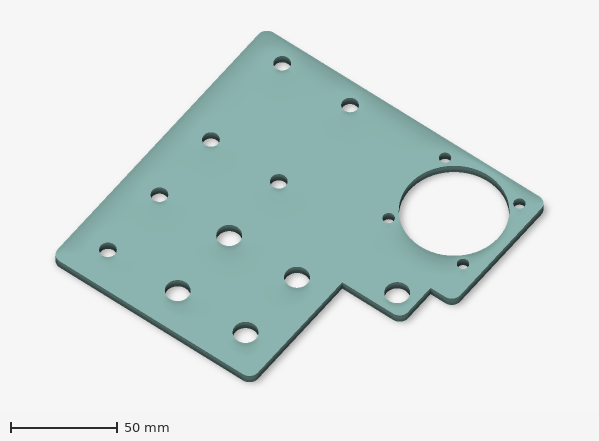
import cadquery as cq

length = 167.0
width = 166.3
thickness = 5.0
corner_radius = 5.0
lower_edge_x = 118.2
tab_edge_x = 153.3
tab_bottom_y = 70.6
tab_top_y = 93.2

hole_pitch = 40.0
small_hole_diameter = 8.4
small_column_x = 19.0
small_row_y = 19.0
upper_row_y = 154.6
large_hole_diameter = 12.2
large_column_x = 59.5
large_row_y = 20.0
tab_hole_center = (142.5, 81.5)

opening_diameter = 52.1
opening_center = (135.1, 135.5)
screw_hole_diameter = 5.8
screw_spacing = 44.0


def make_plate():
    """Extrude the stepped outline and round its outward corners."""
    lower_right = (lower_edge_x, 0)
    tab_corner = (tab_edge_x, tab_bottom_y)
    step_corner = (length, tab_top_y)
    outline = [
        (0, 0),
        lower_right,
        (lower_edge_x, tab_bottom_y),
        tab_corner,
        (tab_edge_x, tab_top_y),
        step_corner,
        (length, width),
        (0, width),
    ]
    plate = cq.Workplane("XY").polyline(outline).close().extrude(thickness)
    outward_corners = [(0, 0), lower_right, tab_corner, step_corner, (length, width), (0, width)]
    for x, y in outward_corners:
        corner_edge = cq.selectors.NearestToPointSelector((x, y, thickness / 2))
        plate = plate.edges("|Z").edges(corner_edge).fillet(corner_radius)
    return plate


def drill(plate, centers, diameter):
    """Cut round through holes at the given centers."""
    cutters = cq.Workplane("XY").pushPoints(centers).circle(diameter / 2).extrude(thickness)
    return plate.cut(cutters)


second_row_y = small_row_y + hole_pitch
third_row_y = small_row_y + 2 * hole_pitch
second_column_x = small_column_x + hole_pitch
small_holes = [(small_column_x, y) for y in (small_row_y, second_row_y, third_row_y, upper_row_y)]
small_holes += [(second_column_x, y) for y in (third_row_y, upper_row_y)]

large_holes = [
    (large_column_x + column * hole_pitch, large_row_y + row * hole_pitch)
    for column in range(2)
    for row in range(2)
]
large_holes.append(tab_hole_center)

screw_holes = [
    (opening_center[0] + side_x * screw_spacing / 2, opening_center[1] + side_y * screw_spacing / 2)
    for side_x in (-1, 1)
    for side_y in (-1, 1)
]

result = make_plate()
result = drill(result, small_holes, small_hole_diameter)
result = drill(result, large_holes, large_hole_diameter)
result = drill(result, screw_holes, screw_hole_diameter)
result = drill(result, [opening_center], opening_diameter)